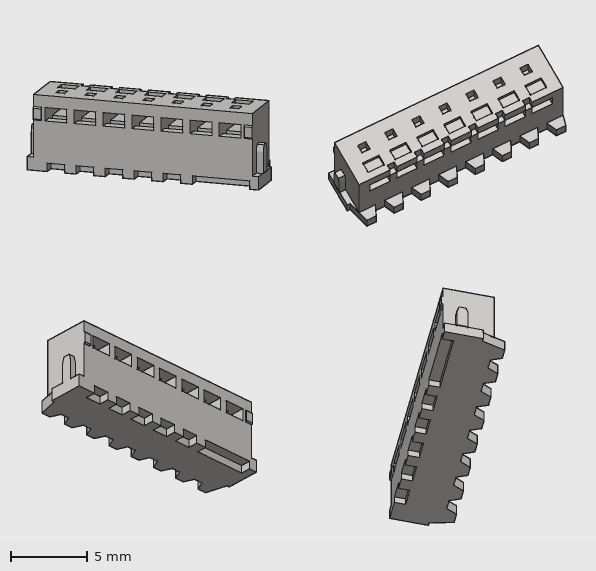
import cadquery as cq


contact_count = 7
pitch = 2.0
row_start = -pitch * (contact_count - 1) / 2
contact_xs = [row_start + i * pitch for i in range(contact_count)]

body_length = 15.09
body_depth = 3.45
height = 5.15
flange_length = 15.95
flange_height = 0.91
flange_back_y = 2.6
flange_shoulder = 0.2
tooth_tip_y = 4.2
end_tooth_tip_x = 7.36
gap_half_width_root = 0.34
gap_half_width_tip = 0.65

window_width = 1.49
window_bottom = 3.42
window_height = 0.91
window_top = window_bottom + window_height
front_wall = 0.75
cavity_floor = 2.4

hole_side = 0.6
hole_y = 1.2
pocket_width = 1.2
pocket_length = 0.77
pocket_y = 2.56
pocket_depth = 0.27
groove_width = 0.5
groove_depth = 0.38

notch_width = 1.2
notch_height = 0.58
wide_notch_end_margin = 0.2

rib_width = 0.75
rib_tip_width = 0.5
rib_top = 2.83
rib_taper_height = 0.46
right_rib_overhang = 0.05

tab_width = 0.55
tab_thickness = 0.1


def block(x_min, x_max, y_min, y_max, z_min, z_max):
    """Rectangular block between the given limits."""
    size = (x_max - x_min, y_max - y_min, z_max - z_min)
    return cq.Workplane("XY").box(*size, centered=False).translate((x_min, y_min, z_min))


def block_at(x, width, y_min, y_max, z_min, z_max):
    """Rectangular block centred on x."""
    return block(x - width / 2, x + width / 2, y_min, y_max, z_min, z_max)


def flange():
    """Base flange with tapered ends and a toothed back edge."""
    half = flange_length / 2
    outline = [
        (half, 0),
        (half, flange_back_y),
        (half - flange_shoulder, flange_back_y),
        (end_tooth_tip_x, tooth_tip_y),
    ]
    mirrored = [(-x, y) for x, y in reversed(outline)]
    plate = cq.Workplane("XY").polyline(outline + mirrored).close().extrude(flange_height)
    for x in contact_xs:
        gap = [
            (x - gap_half_width_root, body_depth),
            (x + gap_half_width_root, body_depth),
            (x + gap_half_width_tip, tooth_tip_y),
            (x - gap_half_width_tip, tooth_tip_y),
        ]
        plate = plate.cut(cq.Workplane("XY").polyline(gap).close().extrude(flange_height))
    return plate


def end_rib(x_min, x_max):
    """Upright rib with a narrowed top, standing on a flange end."""
    shoulder_z = rib_top - rib_taper_height
    profile = [
        (hole_y - rib_width / 2, flange_height),
        (hole_y + rib_width / 2, flange_height),
        (hole_y + rib_width / 2, shoulder_z),
        (hole_y + rib_tip_width / 2, rib_top),
        (hole_y - rib_tip_width / 2, rib_top),
        (hole_y - rib_width / 2, shoulder_z),
    ]
    return cq.Workplane("YZ").polyline(profile).close().extrude(x_max - x_min).translate((x_min, 0, 0))


def latch_tab(x_min):
    """Shallow tab on the front wall, bevelled above and below."""
    profile = [
        (0, window_bottom),
        (-tab_thickness, window_bottom + tab_thickness),
        (-tab_thickness, window_top - tab_thickness),
        (0, window_top),
    ]
    return cq.Workplane("YZ").polyline(profile).close().extrude(tab_width).translate((x_min, 0, 0))


body_end = body_length / 2
flange_end = flange_length / 2

result = block_at(0, body_length, 0, body_depth, 0, height).union(flange())
result = result.union(end_rib(-flange_end, -body_end))
result = result.union(end_rib(body_end, flange_end + right_rib_overhang))
result = result.union(latch_tab(-body_end))
result = result.union(latch_tab(body_end - tab_width))

hole_front = hole_y - hole_side / 2
hole_back = hole_y + hole_side / 2
pocket_front = pocket_y - pocket_length / 2
pocket_back = pocket_y + pocket_length / 2
for x in contact_xs:
    result = result.cut(block_at(x, window_width, 0, body_depth, window_bottom, window_top))
    result = result.cut(block_at(x, window_width, front_wall, hole_back, cavity_floor, window_top))
    result = result.cut(block_at(x, hole_side, hole_front, hole_back, window_bottom, height))
    result = result.cut(block_at(x, pocket_width, pocket_front, pocket_back, height - pocket_depth, height))

groove_front = body_depth - groove_depth
for x in contact_xs[:-1]:
    groove_x = x + pitch / 2
    result = result.cut(block_at(groove_x, groove_width, groove_front, body_depth, window_top, height))

for x in contact_xs[:-2]:
    result = result.cut(block_at(x, notch_width, 0, front_wall, 0, notch_height))
wide_notch_start = contact_xs[-2] - notch_width / 2
wide_notch_end = body_end - wide_notch_end_margin
result = result.cut(block(wide_notch_start, wide_notch_end, 0, front_wall, 0, notch_height))